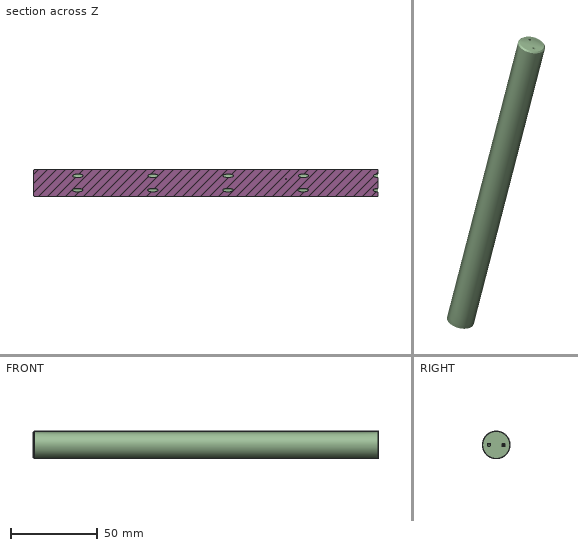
import cadquery as cq
import math

length = 200.0
diameter = 16.0
chamfer = 0.8

channel_count = 2
channel_diameter = 1.75
channel_circle_radius = 4.2
helix_angle = 30.0
helix_lead = math.pi * diameter / math.tan(math.radians(helix_angle))
channel_twist = 360.0 * length / helix_lead
channel_start_angle = -channel_twist

def make_blank():
    """Cylinder with its -X end chamfered."""
    rod = cq.Workplane("YZ").circle(diameter / 2).extrude(length)
    return rod.faces("<X").chamfer(chamfer)

def make_channels():
    """Both helical channels, twisted together about the rod axis."""
    return (
        cq.Workplane("YZ")
        .polarArray(channel_circle_radius, channel_start_angle, 360, channel_count)
        .circle(channel_diameter / 2)
        .twistExtrude(length, channel_twist)
    )


result = make_blank().cut(make_channels())